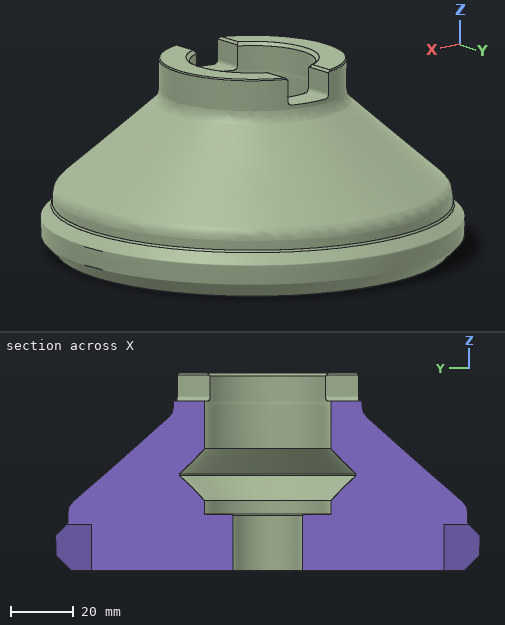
import cadquery as cq


total_height = 63.0
hub_radius = 60.0 / 2
skirt_radius = 127.46 / 2
ring_radius = 135.17 / 2

lead_height = 3.4
lead_strip_rise = 1.45
lead_strip_run = 1.4
flank_taper = 0.2
flank_bottom = lead_height + lead_strip_rise
flank_top = 9.4
band_top = 11.3
ring_top = 14.7
ring_corner_fillet = 0.5
ring_section_width = 6.4
flank_bottom_radius = ring_radius - flank_taper
lead_top_radius = flank_bottom_radius - lead_strip_run
ring_bottom_radius = lead_top_radius - lead_height
ring_top_radius = ring_radius - (ring_top - band_top)
ring_bore_radius = ring_bottom_radius - ring_section_width

skirt_lip_height = 0.7

cone_bottom = 20.6
cone_top = 50.3
cone_blend_radius = 5.0
hub_chamfer = 0.4

bore_entry_radius = 40.2 / 2
bore_radius = 40.01 / 2
bore_chamfer = 1.1
entry_depth = 9.3
entry_taper_height = 1.1
bore_floor = 18.0

relief_radius = 56.1 / 2
relief_top = 38.8
relief_land_height = 0.4
relief_flank = relief_radius - bore_radius

screw_hole_radius = 22.0 / 2
screw_hole_chamfer = 0.4

slot_width = 16.4
slot_depth = 9.0
slot_floor_fillet = 1.5
slot_edge_chamfer = 0.8

selection_reach = 0.01


def revolve_profile(points):
    """Turn a closed (radius, height) outline about the Z axis."""
    return cq.Workplane("XZ").polyline(points).close().revolve(360, (0, 0, 0), (0, 1, 0))


def circles_at(height):
    """Select the circular edges centred on the Z axis at one height."""
    return cq.selectors.BoxSelector(
        (-selection_reach, -selection_reach, height - selection_reach),
        (selection_reach, selection_reach, height + selection_reach),
    )


def make_bore_cutter():
    """Arbor bore, relief groove and screw hole as one turned volume."""
    entry_bottom = total_height - entry_depth
    relief_land_bottom = relief_top - relief_flank - relief_land_height
    return revolve_profile([
        (0, 0),
        (screw_hole_radius, 0),
        (screw_hole_radius, bore_floor - screw_hole_chamfer),
        (screw_hole_radius + screw_hole_chamfer, bore_floor),
        (bore_radius, bore_floor),
        (bore_radius, relief_land_bottom - relief_flank),
        (relief_radius, relief_land_bottom),
        (relief_radius, relief_land_bottom + relief_land_height),
        (bore_radius, relief_top),
        (bore_radius, entry_bottom - entry_taper_height),
        (bore_entry_radius, entry_bottom),
        (bore_entry_radius, total_height - bore_chamfer),
        (bore_entry_radius + bore_chamfer, total_height),
        (0, total_height),
    ])


def make_slot_cutter():
    """Slot with rounded floor corners and chamfered upper edges."""
    half_width = slot_width / 2
    slot_length = 2 * skirt_radius
    slot_floor = total_height - slot_depth
    channel = (
        cq.Workplane("XY")
        .workplane(offset=slot_floor)
        .rect(slot_width, slot_length)
        .extrude(slot_depth)
        .edges("|Y and <Z")
        .fillet(slot_floor_fillet)
    )
    edge_bevel = (
        cq.Workplane("XZ")
        .polyline([
            (-half_width, total_height - slot_edge_chamfer),
            (half_width, total_height - slot_edge_chamfer),
            (half_width + slot_edge_chamfer, total_height),
            (-half_width - slot_edge_chamfer, total_height),
        ])
        .close()
        .extrude(slot_length / 2, both=True)
    )
    return channel.union(edge_bevel)


def make_housing():
    """Spigot, skirt, cone and hub, with the bore and driving slot removed."""
    body = revolve_profile([
        (0, 0),
        (ring_bore_radius, 0),
        (ring_bore_radius, ring_top),
        (ring_top_radius, ring_top),
        (skirt_radius, ring_top + skirt_lip_height),
        (skirt_radius, cone_bottom),
        (hub_radius, cone_top),
        (hub_radius, total_height),
        (0, total_height),
    ])
    for corner_height in (cone_bottom, cone_top):
        body = body.edges(circles_at(corner_height)).fillet(cone_blend_radius)
    body = body.edges(circles_at(total_height)).chamfer(hub_chamfer)
    return body.cut(make_bore_cutter()).cut(make_slot_cutter())


def make_cutting_ring():
    """Faceted ring seated around the spigot, under the housing skirt."""
    ring = revolve_profile([
        (ring_bore_radius, 0),
        (ring_bottom_radius, 0),
        (lead_top_radius, lead_height),
        (flank_bottom_radius, flank_bottom),
        (ring_radius, flank_top),
        (ring_radius, band_top),
        (ring_top_radius, ring_top),
        (ring_bore_radius, ring_top),
    ])
    for corner_height in (flank_bottom, band_top):
        ring = ring.edges(circles_at(corner_height)).fillet(ring_corner_fillet)
    return ring


housing = make_housing()
cutting_ring = make_cutting_ring()

result = cq.Compound.makeCompound([housing.solids().val(), cutting_ring.solids().val()])